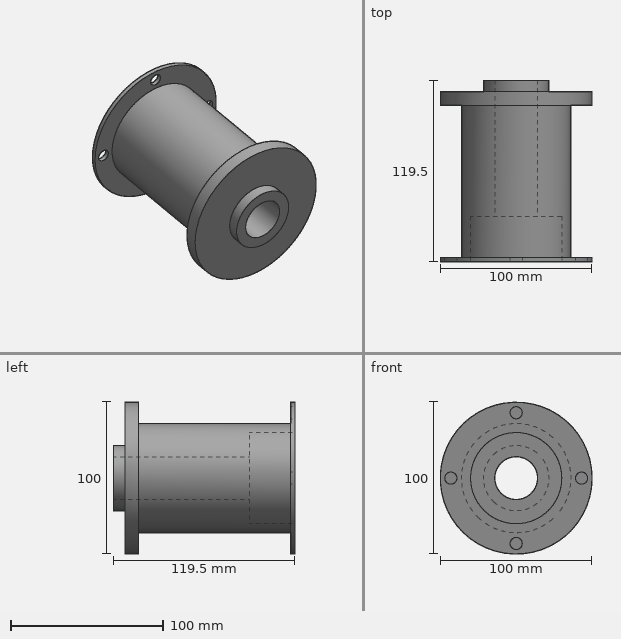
import cadquery as cq

flange_diameter = 100.0
tube_diameter = 72.0
bore_diameter = 60.0
bore_depth = 30.0
boss_diameter = 43.0
shaft_hole_diameter = 28.0

front_flange_thickness = 3.0
tube_length = 100.0
rear_flange_thickness = 9.0
boss_length = 7.5

bolt_hole_diameter = 8.0
bolt_circle_diameter = 86.0
bolt_count = 4

front_face = 0.0
tube_start = front_face + front_flange_thickness
tube_end = tube_start + tube_length
boss_start = tube_end + rear_flange_thickness
rear_face = boss_start + boss_length

bore_end = front_face + bore_depth


def cylinder(diameter, start, end):
    """Solid cylinder centred on the Y axis, between two stations."""
    plane = cq.Workplane("XZ", origin=(0, start, 0))
    return plane.circle(diameter / 2).extrude(start - end)


def flanged_body():
    """Front flange, tube, rear flange and rear boss as one solid."""
    front_flange = cylinder(flange_diameter, front_face, tube_start)
    tube = cylinder(tube_diameter, tube_start, tube_end)
    rear_flange = cylinder(flange_diameter, tube_end, boss_start)
    boss = cylinder(boss_diameter, boss_start, rear_face)
    return front_flange.union(tube).union(rear_flange).union(boss)


def bolt_holes():
    """Cutters for the bolt holes through the front flange only."""
    return (
        cq.Workplane("XZ", origin=(0, front_face, 0))
        .polarArray(bolt_circle_diameter / 2, 0, 360, bolt_count)
        .circle(bolt_hole_diameter / 2)
        .extrude(-front_flange_thickness)
    )


bore = cylinder(bore_diameter, front_face, bore_end)
shaft_hole = cylinder(shaft_hole_diameter, front_face, rear_face)

result = flanged_body().cut(bore).cut(shaft_hole).cut(bolt_holes())